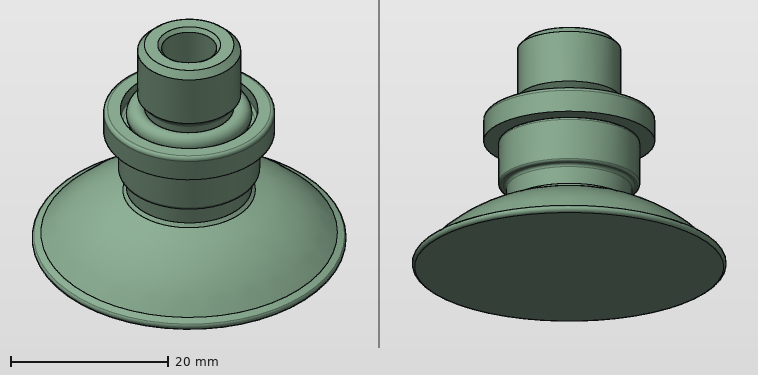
import cadquery as cq
import math

LIP_RADIUS = 20.0
LIP_UNDERSIDE_RADIUS = 19.67
LIP_WIDEST_Z = 0.48
LIP_TOP_RADIUS = 19.8
LIP_TOP_Z = 0.88
DOME_OUTER_RADIUS = 18.87
DOME_OUTER_Z = 1.28
DOME_MIDDLE_RADIUS = 14.0
DOME_MIDDLE_Z = 5.35
DOME_INNER_RADIUS = 8.45
DOME_INNER_Z = 7.9
NECK_RADIUS = 8.0
NECK_BOTTOM_Z = 8.35

COLLAR_RADIUS = 18.0 / 2
COLLAR_BOTTOM_Z = 11.05
COLLAR_EDGE_ROUND = 0.3
COLLAR_TOP_ROUND = 0.4
NECK_TOP_ROUND = 0.4

FLANGE_RADIUS = 21.8 / 2
FLANGE_BOTTOM_Z = 17.07
FLANGE_TOP_Z = 20.43
FLANGE_ROUND = 0.5
RECESS_RADIUS = 17.5 / 2
RECESS_CORNER_ROUND = 0.35

RING_OUTER_RADIUS = 16.0 / 2
RING_INNER_RADIUS = 10.5 / 2
RING_TUBE_RADIUS = (RING_OUTER_RADIUS - RING_INNER_RADIUS) / 2
RING_CENTRE_RADIUS = (RING_OUTER_RADIUS + RING_INNER_RADIUS) / 2
RING_TOP_Z = 21.1
RING_CENTRE_Z = RING_TOP_Z - RING_TUBE_RADIUS
RECESS_FLOOR_Z = RING_TOP_Z - 2 * RING_TUBE_RADIUS

STUD_RADIUS = 13.15 / 2
STUD_BOTTOM_Z = 22.8
STUD_TOP_Z = 30.42
UNDERCUT_RADIUS = 11.4 / 2
UNDERCUT_ROUND = 0.4
STUD_CHAMFER = STUD_RADIUS - UNDERCUT_RADIUS
CONE_ANGLE = math.radians(45)

BORE_RADIUS = 7.0 / 2
BORE_MOUTH_RADIUS = 8.0 / 2
BORE_FLOOR_RADIUS = 4.0 / 2
BORE_DEPTH = 10.0
BORE_CHAMFER = BORE_MOUTH_RADIUS - BORE_RADIUS
BORE_CONE_HEIGHT = BORE_RADIUS - BORE_FLOOR_RADIUS


def revolve_about_z(profile):
    """Revolve a closed profile, drawn as (radius, height), about the Z axis."""
    return profile.close().revolve(360, (0, 0, 0), (0, 1, 0))


def make_cup():
    profile = (
        cq.Workplane("XZ")
        .lineTo(LIP_UNDERSIDE_RADIUS, 0)
        .threePointArc((LIP_RADIUS, LIP_WIDEST_Z), (LIP_TOP_RADIUS, LIP_TOP_Z))
        .lineTo(DOME_OUTER_RADIUS, DOME_OUTER_Z)
        .threePointArc((DOME_MIDDLE_RADIUS, DOME_MIDDLE_Z), (DOME_INNER_RADIUS, DOME_INNER_Z))
        .lineTo(NECK_RADIUS, NECK_BOTTOM_Z)
        .lineTo(NECK_RADIUS, COLLAR_BOTTOM_Z - NECK_TOP_ROUND)
        .tangentArcPoint((NECK_TOP_ROUND, NECK_TOP_ROUND))
        .lineTo(0, COLLAR_BOTTOM_Z)
    )
    return revolve_about_z(profile)


def make_collar():
    collar = (
        cq.Workplane("XY")
        .workplane(offset=COLLAR_BOTTOM_Z)
        .circle(COLLAR_RADIUS)
        .extrude(FLANGE_BOTTOM_Z - COLLAR_BOTTOM_Z)
    )
    collar = collar.edges("<Z").fillet(COLLAR_EDGE_ROUND)
    return collar.edges(">Z").fillet(COLLAR_TOP_ROUND)


def make_flange():
    flange = (
        cq.Workplane("XY")
        .workplane(offset=FLANGE_BOTTOM_Z)
        .circle(FLANGE_RADIUS)
        .extrude(FLANGE_TOP_Z - FLANGE_BOTTOM_Z)
        .edges(">Z")
        .fillet(FLANGE_ROUND)
    )
    recess = (
        cq.Workplane("XY")
        .workplane(offset=RECESS_FLOOR_Z)
        .circle(RECESS_RADIUS)
        .extrude(FLANGE_TOP_Z - RECESS_FLOOR_Z)
        .edges("<Z")
        .fillet(RECESS_CORNER_ROUND)
    )
    return flange.cut(recess)


def make_sealing_ring():
    return cq.Workplane("XY").add(
        cq.Solid.makeTorus(RING_CENTRE_RADIUS, RING_TUBE_RADIUS, cq.Vector(0, 0, RING_CENTRE_Z))
    )


def make_stud():
    corner_z = STUD_BOTTOM_Z - STUD_CHAMFER
    tangent_length = UNDERCUT_ROUND * math.tan(CONE_ANGLE / 2)
    blend_out = tangent_length * math.sin(CONE_ANGLE)
    blend_up = tangent_length * (1 + math.cos(CONE_ANGLE))
    profile = (
        cq.Workplane("XZ")
        .moveTo(0, RECESS_FLOOR_Z)
        .lineTo(UNDERCUT_RADIUS, RECESS_FLOOR_Z)
        .lineTo(UNDERCUT_RADIUS, corner_z - tangent_length)
        .tangentArcPoint((blend_out, blend_up))
        .lineTo(STUD_RADIUS, STUD_BOTTOM_Z)
        .lineTo(STUD_RADIUS, STUD_TOP_Z - STUD_CHAMFER)
        .lineTo(UNDERCUT_RADIUS, STUD_TOP_Z)
        .lineTo(0, STUD_TOP_Z)
    )
    return revolve_about_z(profile)


def make_bore():
    floor_z = STUD_TOP_Z - BORE_DEPTH
    profile = (
        cq.Workplane("XZ")
        .moveTo(0, floor_z)
        .lineTo(BORE_FLOOR_RADIUS, floor_z)
        .lineTo(BORE_RADIUS, floor_z + BORE_CONE_HEIGHT)
        .lineTo(BORE_RADIUS, STUD_TOP_Z - BORE_CHAMFER)
        .lineTo(BORE_MOUTH_RADIUS, STUD_TOP_Z)
        .lineTo(0, STUD_TOP_Z)
    )
    return revolve_about_z(profile)


result = (
    make_cup()
    .union(make_collar())
    .union(make_flange())
    .union(make_stud())
    .union(make_sealing_ring())
    .cut(make_bore())
)